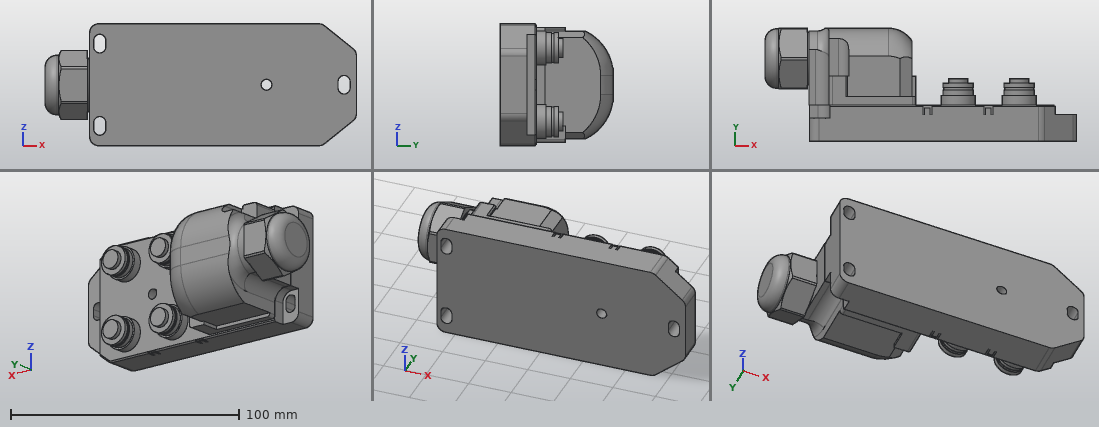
import cadquery as cq
import math


base_length = 116.9
base_width = 53.5
base_depth = 16.0
base_corner_radius = 4.1
nose_start = 101.7
nose_width = 29.2
rim_chamfer = 0.7
step_start = 107.6
step_depth = 11.9

recess_floor = 10.2
recess_half_gap = 12.0
recess_radius = 5.0
recess_end = 8.9

slot_width = 5.2
slot_length = 8.0
corner_slot_x = 4.5
corner_slot_z = 18.0
end_slot_x = 111.4
hole_x = 77.5
hole_diameter = 4.6

hood_z = -0.1
hood_start = -0.3
hood_end = 44.9
hood_top = 49.6
hood_half_width = 23.6
hood_shoulder = 37.4
dome_bottom = 23.2
hood_crown_half = 4.1
hood_round_radius = 12.4
hood_round_start = 34.5
hood_chamfer_length = 5.2
hood_chamfer_width = 2.7

throat_half_width = 12.0
arch_y = 35.5
arch_radius = 13.0
arch_flare_radius = 5.0
flare_radius = 6.0
flare_start = 2.6
flare_end = flare_start + flare_radius
flare_outer = throat_half_width + flare_radius

foot_end = 46.5
foot_top = 19.6
foot_half_width = 25.2
foot_radius = 1.5
lug_top = 28.6
lug_length = 8.0
lug_chamfer = 0.7
pocket_length = 8.6
pocket_radius = 4.5
pocket_floor = 17.5

gland_y = 36.3
nut_flats = 2 * (hood_top - gland_y)
nut_corner_radius = 15.1
nut_start = -13.5
nut_end = -1.0
nut_chamfer_length = 1.1
neck_radius = 11.6
cap_radius = 13.1
cap_start = base_length - 136.4
cap_round = 5.3

socket_positions = [(65.0, 16.1), (91.8, 16.1), (65.0, -16.1), (91.8, -16.1)]
socket_steps = [(7.5, 20.2), (6.7, 25.5), (4.2, 27.5)]
groove_bottom = 22.5
groove_top = 23.6
groove_radius = 6.4

catch_positions = [51.5, 78.3]
catch_width = 4.0
catch_tab_width = 2.3
catch_bottom = 11.7
catch_tab_top = 14.6
catch_depth = 0.5

overlap = 1.4


def level(y):
    """Plane across the base at height y, with local axes X and Z."""
    return cq.Workplane("XZ", origin=(0, y, 0))


def rise(sketch, height):
    """Extrude a sketch drawn on a level towards +Y."""
    return sketch.extrude(-height)


def box(x_range, y_range, z_range):
    size = [high - low for low, high in (x_range, y_range, z_range)]
    corner = (x_range[0], y_range[0], z_range[0])
    return cq.Workplane("XY").box(*size, centered=False).translate(corner)


def make_base():
    half = base_width / 2
    outline = [
        (0, -half), (nose_start, -half), (base_length, -nose_width / 2),
        (base_length, nose_width / 2), (nose_start, half), (0, half),
    ]
    base = rise(level(0).polyline(outline).close(), base_depth)
    base = base.edges("|Y").fillet(base_corner_radius)
    step = box(
        (step_start, base_length + overlap),
        (step_depth, base_depth + overlap),
        (-half, half),
    )
    base = base.cut(step)
    base = base.faces(">Y").edges().chamfer(rim_chamfer)
    for side in (1, -1):
        base = base.cut(corner_recess(side))
        for x in catch_positions:
            base = base.cut(label_catch(x, side))
    sill = box((0, recess_end), (recess_floor, base_depth), (-recess_half_gap, recess_half_gap))
    return base.union(sill)


def corner_recess(side):
    """Recess beside the throat, with one rounded inner corner."""
    depth = base_depth - recess_floor + overlap
    z_range = sorted((side * recess_half_gap, side * base_width))
    block = box((-overlap, recess_end), (recess_floor, recess_floor + depth), z_range)
    inner = "<Z" if side > 0 else ">Z"
    return block.faces(">X").edges(inner).fillet(recess_radius)


def label_catch(x, side):
    """Wedge-shaped notch that runs out at its lower end, around a flush central tab."""
    half = base_width / 2
    wedge = (
        cq.Workplane("YZ", origin=(x - catch_width / 2, 0, 0))
        .polyline([
            (catch_bottom, side * half),
            (catch_bottom, side * (half + overlap)),
            (base_depth, side * (half + overlap)),
            (base_depth, side * (half - catch_depth)),
        ])
        .close()
        .extrude(catch_width)
    )
    tab_half = catch_tab_width / 2
    tab = box((x - tab_half, x + tab_half), (0, catch_tab_top), (-base_width, base_width))
    return wedge.cut(tab)


def hole_cutters():
    slots = level(-overlap).pushPoints([
        (corner_slot_x, corner_slot_z), (corner_slot_x, -corner_slot_z), (end_slot_x, 0),
    ]).slot2D(slot_length, slot_width, 90)
    height = base_depth + 2 * overlap
    hole = level(-overlap).center(hole_x, 0).circle(hole_diameter / 2)
    return rise(slots, height).union(rise(hole, height))


def dome_section(x, bottom):
    """Closed hood cross-section at x: straight sides, two arcs and a flat crown."""
    run = hood_half_width - hood_crown_half
    dome_height = hood_top - hood_shoulder
    dome_radius = (run ** 2 + dome_height ** 2) / (2 * dome_height)
    return (
        cq.Workplane("YZ", origin=(x, 0, 0))
        .moveTo(bottom, -hood_half_width)
        .lineTo(hood_shoulder, -hood_half_width)
        .radiusArc((hood_top, -hood_crown_half), -dome_radius)
        .lineTo(hood_top, hood_crown_half)
        .radiusArc((hood_shoulder, hood_half_width), -dome_radius)
        .lineTo(bottom, hood_half_width)
        .close()
    )


def hood_envelope():
    """Domed body whose crown drops along an arc at the far end, with tapered corners."""
    body = dome_section(hood_start, base_depth).extrude(hood_round_start - hood_start)
    round_run = hood_end - hood_round_start
    round_drop = hood_round_radius - math.sqrt(hood_round_radius ** 2 - round_run ** 2)
    drop_path = (
        cq.Workplane("XY")
        .moveTo(hood_round_start, hood_top)
        .radiusArc((hood_end, hood_top - round_drop), hood_round_radius)
    )
    dropped_end = dome_section(hood_round_start, dome_bottom).sweep(drop_path, normal=(1, 0, 0))
    lower_end = box(
        (hood_round_start, hood_end),
        (base_depth, dome_bottom + overlap),
        (-hood_half_width, hood_half_width),
    )
    tapered = hood_half_width - hood_chamfer_width
    plan = [
        (hood_start, -hood_half_width), (hood_end - hood_chamfer_length, -hood_half_width),
        (hood_end, -tapered), (hood_end, tapered),
        (hood_end - hood_chamfer_length, hood_half_width), (hood_start, hood_half_width),
    ]
    tapered_plan = rise(level(0).polyline(plan).close(), hood_top)
    return body.union(dropped_end).union(lower_end).intersect(tapered_plan)


def flare_profile(plane, radius, start, sweep_radius):
    """Half outline of the throat: straight at first, then a concave quarter arc outwards."""
    diagonal = sweep_radius * math.sqrt(0.5)
    middle = (start + diagonal, radius + sweep_radius - diagonal)
    return (
        plane.moveTo(hood_start, 0)
        .lineTo(hood_start, radius)
        .lineTo(start, radius)
        .threePointArc(middle, (start + sweep_radius, radius + sweep_radius))
        .lineTo(start + sweep_radius, 0)
        .close()
    )


def flared_throat():
    """Throat with flared side walls and a flared arch on top, followed by the full hood width."""
    side = rise(flare_profile(level(0), throat_half_width, flare_start, flare_radius), hood_top)
    walls = side.union(side.mirror("XY"))
    arch = flare_profile(cq.Workplane("XY"), arch_radius, flare_end - arch_flare_radius, arch_flare_radius)
    arch = arch.revolve(360, (0, 0, 0), (1, 0, 0)).translate((0, arch_y, 0))
    below_arch = box((hood_start, flare_end), (0, arch_y), (-hood_half_width, hood_half_width))
    full = box((flare_end, hood_end), (0, hood_top), (-hood_half_width, hood_half_width))
    return walls.intersect(arch.union(below_arch)).union(full)


def screw_pocket():
    """Clearance above the lug, with a rounded inner corner."""
    block = box(
        (flare_end - overlap, flare_end + pocket_length),
        (lug_top, hood_top + overlap),
        (pocket_floor, hood_half_width + overlap),
    )
    return block.faces(">X").edges("<Z").fillet(pocket_radius)


def screw_lug(x_start):
    """Raised pad on the +Z side, square to the foot band."""
    return box(
        (x_start, x_start + lug_length),
        (base_depth, lug_top),
        (flare_outer, foot_half_width),
    )


def make_hood():
    hood = hood_envelope().intersect(flared_throat()).cut(screw_pocket())
    foot = box((flare_end, foot_end), (base_depth, foot_top), (-foot_half_width, foot_half_width))
    foot = foot.edges("|Y").fillet(foot_radius)
    near_lug = screw_lug(flare_end)
    near_lug = near_lug.edges("|Y and <X and >Z").fillet(foot_radius)
    near_lug = near_lug.edges("|Y and >X and >Z").chamfer(lug_chamfer)
    far_lug = screw_lug(foot_end - lug_length).edges("|Y and >X and >Z").fillet(foot_radius)
    hood = hood.union(foot).union(near_lug).union(far_lug.mirror("XY"))
    return hood.translate((0, 0, hood_z))


def make_gland():
    axis = cq.Workplane("YZ", origin=(0, gland_y, hood_z))
    nut = (
        axis.workplane(offset=nut_start)
        .polygon(6, nut_flats, circumscribed=True)
        .extrude(nut_end - nut_start)
    )
    rounding = (
        axis.workplane(offset=nut_start)
        .circle(nut_corner_radius)
        .extrude(nut_end - nut_start)
        .faces("<X")
        .chamfer(nut_chamfer_length, nut_corner_radius - cap_radius)
    )
    cap = axis.workplane(offset=cap_start).circle(cap_radius).extrude(nut_end - cap_start)
    cap = cap.faces("<X").edges().fillet(cap_round)
    neck = axis.workplane(offset=nut_end - overlap).circle(neck_radius).extrude(2 * overlap)
    return nut.intersect(rounding).union(cap).union(neck)


def make_socket(x, z):
    bottom = base_depth - overlap
    socket = None
    for radius, top in socket_steps:
        step = rise(level(bottom).center(x, z).circle(radius), top - bottom)
        socket = step if socket is None else socket.union(step)
    body_radius = socket_steps[1][0]
    groove = rise(
        level(groove_bottom).center(x, z).circle(body_radius + overlap).circle(groove_radius),
        groove_top - groove_bottom,
    )
    return socket.cut(groove)


result = make_base().cut(hole_cutters())
result = result.union(make_hood()).union(make_gland())
for socket_x, socket_z in socket_positions:
    result = result.union(make_socket(socket_x, socket_z))